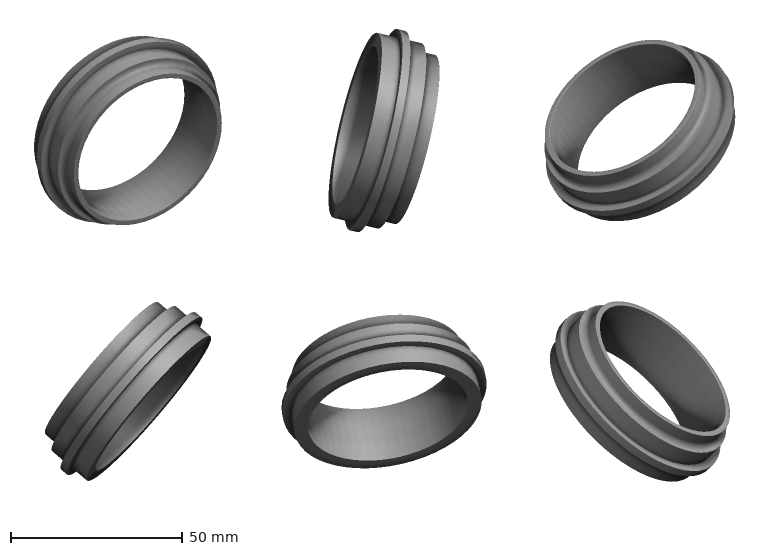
import cadquery as cq
import math

BORE_DIAMETER = 47.5
SPIGOT_DIAMETER = 50.8
FRONT_BODY_DIAMETER = 55.55
REAR_BODY_DIAMETER = 55.68
FLANGE_DIAMETER = 60.45

TOTAL_LENGTH = 18.26
FLANGE_START = 5.56
FLANGE_WIDTH = 2.38
SHOULDER_POSITION = 13.49

SHOULDER_FILLET_RADIUS = 1.59
END_CHAMFER = 0.075

flange_end = FLANGE_START + FLANGE_WIDTH
fillet_end = SHOULDER_POSITION + SHOULDER_FILLET_RADIUS


def make_ring_profile():
    """Half section in the XY plane, with Y as the radius about the X axis."""
    bore_radius = BORE_DIAMETER / 2
    spigot_radius = SPIGOT_DIAMETER / 2
    front_body_radius = FRONT_BODY_DIAMETER / 2
    rear_body_radius = REAR_BODY_DIAMETER / 2
    flange_radius = FLANGE_DIAMETER / 2

    fillet_top = spigot_radius + SHOULDER_FILLET_RADIUS
    diagonal_offset = SHOULDER_FILLET_RADIUS * math.sqrt(0.5)
    fillet_middle = (fillet_end - diagonal_offset, fillet_top - diagonal_offset)

    return (
        cq.Workplane("XY")
        .moveTo(0, bore_radius)
        .lineTo(0, front_body_radius)
        .lineTo(FLANGE_START, front_body_radius)
        .lineTo(FLANGE_START, flange_radius)
        .lineTo(flange_end, flange_radius)
        .lineTo(flange_end, rear_body_radius)
        .lineTo(SHOULDER_POSITION, rear_body_radius)
        .lineTo(SHOULDER_POSITION, fillet_top)
        .threePointArc(fillet_middle, (fillet_end, spigot_radius))
        .lineTo(TOTAL_LENGTH - END_CHAMFER, spigot_radius)
        .lineTo(TOTAL_LENGTH, spigot_radius - END_CHAMFER)
        .lineTo(TOTAL_LENGTH, bore_radius + END_CHAMFER)
        .lineTo(TOTAL_LENGTH - END_CHAMFER, bore_radius)
        .close()
    )


result = make_ring_profile().revolve(360, (0, 0, 0), (1, 0, 0))